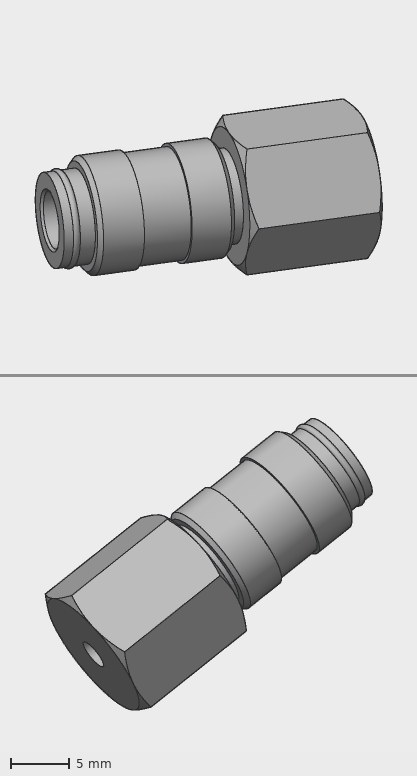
import cadquery as cq
import math

total_length = 28.0
hex_flats = 12.0
hex_corners = hex_flats / math.cos(math.pi / 6)
hex_start = 16.1
hex_length = total_length - hex_start
hex_chamfer_angle = math.radians(30)

neck_radius = 4.17
collar_radius = 5.2
collar_chamfer = 0.42
collar_start = 2.8
collar_end = 15.12
waist_radius = 4.93
waist_start = 6.9
waist_end = 11.17

ring_radius = 4.35
ring_start = 0.85
ring_end = 1.45
ring_middle = (ring_start + ring_end) / 2

bore_radius = 2.52
bore_depth = 7.0
bore_chamfer = 0.22
through_radius = 1.35


def hex_nut():
    """Hexagon with corners on X, both ends turned to a cone that touches the flats."""
    prism = cq.Workplane("XZ", origin=(0, hex_start, 0)).polygon(6, hex_corners).extrude(-hex_length)
    corner_radius = hex_corners / 2
    flat_radius = hex_flats / 2
    drop = (corner_radius - flat_radius) * math.tan(hex_chamfer_angle)
    envelope = (
        cq.Workplane("XY")
        .moveTo(0, hex_start)
        .lineTo(flat_radius, hex_start)
        .lineTo(corner_radius, hex_start + drop)
        .lineTo(corner_radius, total_length - drop)
        .lineTo(flat_radius, total_length)
        .lineTo(0, total_length)
        .close()
        .revolve(360, (0, 0, 0), (0, 1, 0))
    )
    return prism.intersect(envelope)


def turned_body():
    """Spigot, raised ring, waisted collar and neck as one turned profile."""
    return (
        cq.Workplane("XY")
        .lineTo(neck_radius, 0)
        .lineTo(neck_radius, ring_start)
        .threePointArc((ring_radius, ring_middle), (neck_radius, ring_end))
        .lineTo(neck_radius, collar_start)
        .lineTo(collar_radius - collar_chamfer, collar_start)
        .lineTo(collar_radius, collar_start + collar_chamfer)
        .lineTo(collar_radius, waist_start)
        .lineTo(waist_radius, waist_start)
        .lineTo(waist_radius, waist_end)
        .lineTo(collar_radius, waist_end)
        .lineTo(collar_radius, collar_end - collar_chamfer)
        .lineTo(collar_radius - collar_chamfer, collar_end)
        .lineTo(neck_radius, collar_end)
        .lineTo(neck_radius, hex_start)
        .lineTo(0, hex_start)
        .close()
        .revolve(360, (0, 0, 0), (0, 1, 0))
    )


def stepped_bore():
    """Chamfered blind bore in the spigot, continued by a narrow through hole."""
    mouth = cq.Workplane("XZ").circle(bore_radius).extrude(-bore_depth)
    lead_in = (
        cq.Workplane("XY")
        .lineTo(bore_radius + bore_chamfer, 0)
        .lineTo(bore_radius, bore_chamfer)
        .lineTo(0, bore_chamfer)
        .close()
        .revolve(360, (0, 0, 0), (0, 1, 0))
    )
    through_hole = cq.Workplane("XZ").circle(through_radius).extrude(-total_length)
    return mouth.union(lead_in).union(through_hole)


result = turned_body().union(hex_nut()).cut(stepped_bore())